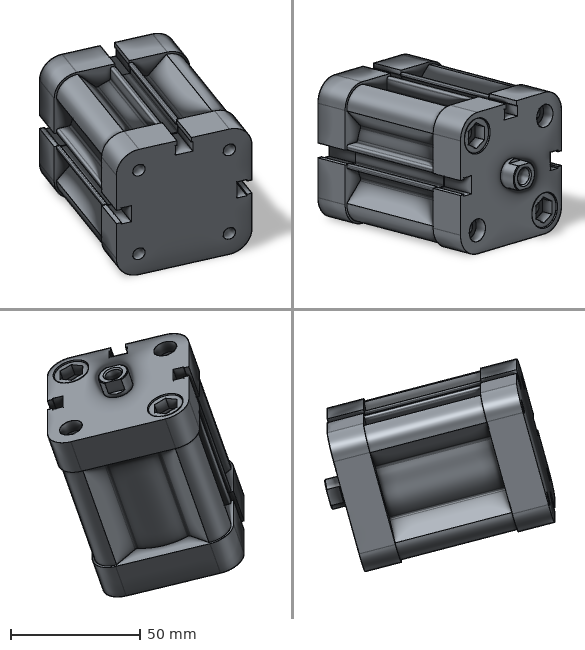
import cadquery as cq
import math


total_length = 83.0
rod_projection = 7.1
cap_length = 14.5
barrel_length = total_length - rod_projection - 2 * cap_length
front_cap_x = rod_projection
barrel_x = front_cap_x + cap_length
rear_cap_x = barrel_x + barrel_length

width = 57.0
half_width = width / 2
corner_offset = 19.0
cap_corner_radius = half_width - corner_offset
screw_hole_diameter = 5.15
corners = [(y, z) for y in (-corner_offset, corner_offset) for z in (-corner_offset, corner_offset)]
socket_corners = [(-corner_offset, -corner_offset), (corner_offset, corner_offset)]
bore_corners = [(-corner_offset, corner_offset), (corner_offset, -corner_offset)]
slotted_sides = (0, 90, -90)
corner_angles = (45, 135, 225, 315)

recess_depth = 5.0
hex_across_flats = 9.05
bore_diameter = 9.1
seat_mouth_diameter = 14.4
seat_floor_diameter = 13.8
seat_depth = 0.5

cap_slot_opening = 6.0
cap_slot_lip_depth = 2.1
cap_slot_width = 7.3
cap_slot_depth = 6.3

barrel_radius = 22.25
boss_radius = 8.55
boss_web_half_width = 6.3
root_fillet = 1.0
rail_width = 9.8
rail_top = corner_offset + boss_radius
rail_edge_radius = 1.0
rail_slot_opening = 5.5
rail_lip_edge_radius = 0.5
rail_lip_thickness = 1.3
rail_slot_width = 6.6
rail_slot_floor = 22.7
rail_slot_corner_radius = 0.3

rod_diameter = 11.95
rod_chamfer = 0.3
rod_length = barrel_x
flat_length = 5.15
flat_runout = 0.4
flat_width = 10.0
thread_diameter = 6.6
thread_depth = 13.3
thread_chamfer = 0.6
drill_tip_angle = 118.0

tolerance = 0.01


def section_plane(x):
    """Plane across the axis, local x along Y and local y along Z."""
    return cq.Workplane("YZ", origin=(x, 0, 0))


def block(x, length, y_width, z_low, z_high):
    """Box centred on Y, starting at x and reaching from z_low to z_high."""
    box = cq.Workplane("XY").box(length, y_width, z_high - z_low, centered=(False, True, False))
    return box.translate((x, 0, z_low))


def turned_about_axis(body, angle):
    return body.rotate((0, 0, 0), (1, 0, 0), angle)


def make_cap(x):
    """End cap with rounded corners, four screw holes and a sensor slot on three sides."""
    cap = section_plane(x).rect(width, width).extrude(cap_length).edges("|X").fillet(cap_corner_radius)
    cap = cap.cut(section_plane(x).pushPoints(corners).circle(screw_hole_diameter / 2).extrude(cap_length))
    opening = block(x, cap_length, cap_slot_opening, half_width - cap_slot_depth, half_width)
    channel = block(
        x, cap_length, cap_slot_width, half_width - cap_slot_depth, half_width - cap_slot_lip_depth
    )
    slot = opening.union(channel)
    for angle in slotted_sides:
        cap = cap.cut(turned_about_axis(slot, angle))
    return cap


def make_front_cap():
    """Cap with a rod hole, hexagon sockets in shallow seats on one diagonal and bores on the other."""
    cap = make_cap(front_cap_x)
    face = section_plane(front_cap_x)
    cap = cap.cut(face.circle(rod_diameter / 2).extrude(cap_length))
    cap = cap.cut(face.pushPoints(bore_corners).circle(bore_diameter / 2).extrude(recess_depth))

    hex_corner_radius = hex_across_flats / math.sqrt(3)
    hex_points = [
        (hex_corner_radius * math.sin(math.radians(a)), hex_corner_radius * math.cos(math.radians(a)))
        for a in range(0, 360, 60)
    ]
    socket = face.polyline(hex_points).close().extrude(seat_depth + recess_depth)
    seat_taper = math.degrees(math.atan((seat_mouth_diameter - seat_floor_diameter) / 2 / seat_depth))
    seat = face.circle(seat_mouth_diameter / 2).extrude(seat_depth, taper=seat_taper)
    for y, z in socket_corners:
        cap = cap.cut(seat.translate((0, y, z))).cut(socket.translate((0, y, z)))
    return cap


def make_corner_boss():
    """Straight web running out from the axis along +Z, ending in a round tip."""
    boss_centre = corner_offset * math.sqrt(2)
    tip_start = boss_centre + math.sqrt(boss_radius**2 - boss_web_half_width**2)
    return (
        section_plane(barrel_x)
        .moveTo(-boss_web_half_width, 0)
        .lineTo(-boss_web_half_width, tip_start)
        .threePointArc((0, boss_centre + boss_radius), (boss_web_half_width, tip_start))
        .lineTo(boss_web_half_width, 0)
        .close()
        .extrude(barrel_length)
    )


def make_rail():
    """Sensor rail on the +Z side: rounded block with an undercut slot."""
    rail = block(barrel_x, barrel_length, rail_width, 0, rail_top)
    rail = rail.edges("|X and >Z").fillet(rail_edge_radius)
    rail = rail.cut(block(barrel_x, barrel_length, rail_slot_opening, rail_slot_floor, rail_top))

    def is_slot_mouth(edge):
        centre = edge.Center()
        on_top = abs(centre.z - rail_top) < tolerance
        return on_top and abs(abs(centre.y) - rail_slot_opening / 2) < tolerance

    rail = rail.edges("|X").filter(is_slot_mouth).fillet(rail_lip_edge_radius)
    channel = block(
        barrel_x, barrel_length, rail_slot_width, rail_slot_floor, rail_top - rail_lip_thickness
    )
    channel = channel.edges("|X and <Z").fillet(rail_slot_corner_radius)
    return rail.cut(channel)


def make_barrel():
    barrel = section_plane(barrel_x).circle(barrel_radius).extrude(barrel_length)
    boss = make_corner_boss()
    for angle in corner_angles:
        barrel = barrel.union(turned_about_axis(boss, angle))
    rail = make_rail()
    for angle in slotted_sides:
        barrel = barrel.union(turned_about_axis(rail, angle))

    def is_root(edge):
        centre = edge.Center()
        return abs(math.hypot(centre.y, centre.z) - barrel_radius) < tolerance

    barrel = barrel.edges("|X").filter(is_root).fillet(root_fillet)
    holes = section_plane(barrel_x).pushPoints(corners).circle(screw_hole_diameter / 2)
    return barrel.cut(holes.extrude(barrel_length))


def make_rod():
    """Piston rod with two wrench flats, each with a sloped run-out, and a hole with a drill cone."""
    rod_radius = rod_diameter / 2
    rod = section_plane(0).circle(rod_radius).extrude(rod_length).faces("<X").chamfer(rod_chamfer)
    flat = (
        cq.Workplane("XZ")
        .polyline([
            (0, flat_width / 2),
            (flat_length, flat_width / 2),
            (flat_length + flat_runout, rod_radius),
            (0, rod_radius),
        ])
        .close()
        .extrude(rod_radius, both=True)
    )
    for side in (0, 180):
        rod = rod.cut(turned_about_axis(flat, side))

    hole_radius = thread_diameter / 2
    mouth_radius = hole_radius + thread_chamfer
    tip_length = hole_radius / math.tan(math.radians(drill_tip_angle / 2))
    hole = (
        cq.Workplane("XY")
        .polyline([
            (0, 0),
            (0, mouth_radius),
            (thread_chamfer, hole_radius),
            (thread_depth, hole_radius),
            (thread_depth + tip_length, 0),
        ])
        .close()
        .revolve(360, (0, 0, 0), (1, 0, 0))
    )
    return rod.cut(hole)


front_cap = make_front_cap()
barrel = make_barrel()
rear_cap = make_cap(rear_cap_x)
rod = make_rod()

result = cq.Compound.makeCompound([front_cap.val(), barrel.val(), rear_cap.val(), rod.val()])